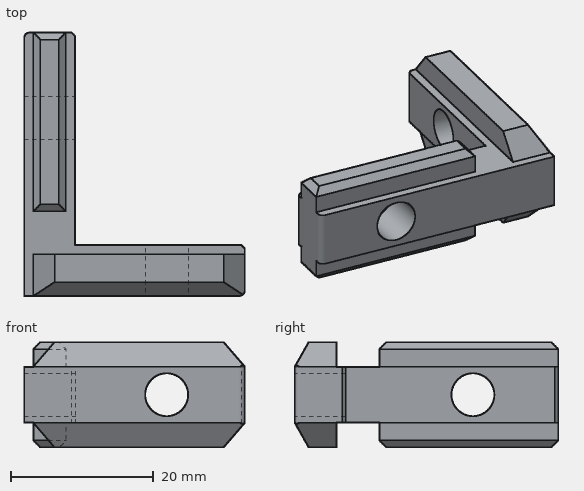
import cadquery as cq

foot_length = 31.0
arm_length = 37.0
leg_width = 7.18
bar_thickness = 7.85
outer_end_radius = 0.8
inner_end_chamfer = 0.5

total_height = 14.8
rail_inset = 1.3
rail_height = (total_height - bar_thickness) / 2

arm_rail_start = 11.88
arm_rail_chamfer = 1.0

foot_rail_end_slope = 3.0
foot_rail_side_slope = 1.95

hole_diameter = 6.0
foot_hole_x = 20.0
arm_hole_y = 25.0


def make_bar():
    """L-shaped plate with its outer corner at the origin."""
    outline = [
        (0, 0),
        (foot_length, 0),
        (foot_length, leg_width),
        (leg_width, leg_width),
        (leg_width, arm_length),
        (0, arm_length),
    ]
    return cq.Workplane("XY").polyline(outline).close().extrude(bar_thickness / 2, both=True)


def make_arm_rail():
    """Upper arm rail with its top edges chamfered all round."""
    rail_width = leg_width - 2 * rail_inset
    rail_length = arm_length - arm_rail_start
    return (
        cq.Workplane("XY", origin=(rail_inset, arm_rail_start, bar_thickness / 2))
        .rect(rail_width, rail_length, centered=False)
        .extrude(rail_height)
        .faces(">Z")
        .edges()
        .chamfer(arm_rail_chamfer)
    )


def make_foot_rail():
    """Upper foot rail, lofted from its base to its smaller top."""
    inner_y = leg_width - rail_inset
    base = [
        (rail_inset, 0),
        (foot_length, 0),
        (foot_length, inner_y),
        (rail_inset, inner_y),
    ]
    top_left = rail_inset + foot_rail_end_slope
    top_right = foot_length - foot_rail_end_slope
    top = [
        (top_left, foot_rail_side_slope),
        (top_right, foot_rail_side_slope),
        (top_right, inner_y),
        (top_left, inner_y),
    ]
    return (
        cq.Workplane("XY", origin=(0, 0, bar_thickness / 2))
        .polyline(base)
        .close()
        .workplane(offset=rail_height)
        .polyline(top)
        .close()
        .loft(ruled=True, combine=True)
    )


def make_end_envelope():
    """Full-height envelope with outer end corners rounded and inner ones chamfered."""
    foot_envelope = (
        cq.Workplane("XY")
        .rect(foot_length, leg_width, centered=False)
        .extrude(total_height / 2, both=True)
        .faces(">X")
        .edges("<Y")
        .fillet(outer_end_radius)
        .faces(">X")
        .edges(">Y")
        .chamfer(inner_end_chamfer)
    )
    arm_envelope = (
        cq.Workplane("XY")
        .rect(leg_width, arm_length, centered=False)
        .extrude(total_height / 2, both=True)
        .faces(">Y")
        .edges("<X")
        .fillet(outer_end_radius)
        .faces(">Y")
        .edges(">X")
        .chamfer(inner_end_chamfer)
    )
    return foot_envelope.union(arm_envelope)


def make_holes():
    """Through-hole cutters, one across each leg at mid-height."""
    foot_hole = (
        cq.Workplane("XZ", origin=(foot_hole_x, 0, 0))
        .circle(hole_diameter / 2)
        .extrude(-leg_width)
    )
    arm_hole = (
        cq.Workplane("YZ", origin=(0, arm_hole_y, 0))
        .circle(hole_diameter / 2)
        .extrude(leg_width)
    )
    return foot_hole.union(arm_hole)


result = make_bar()
for rail in (make_arm_rail(), make_foot_rail()):
    result = result.union(rail).union(rail.mirror("XY"))
result = result.intersect(make_end_envelope()).cut(make_holes())